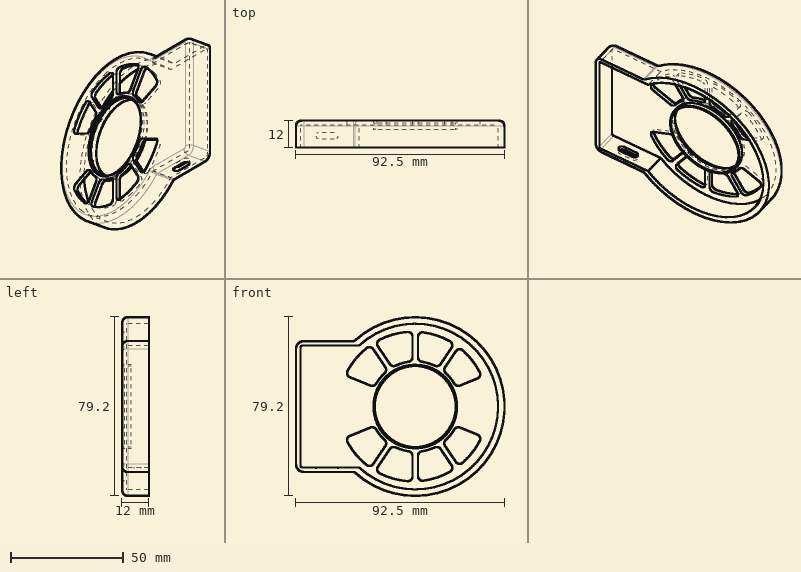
import cadquery as cq
import math

depth = 12.0
outer_radius = 39.62
box_left = -52.86
box_half_height = 29.0
box_corner_radius = 3.5
neck_fillet_radius = 1.0
back_edge_fillet = 2.5

floor_thickness = 2.0
box_wall = 2.0
cavity_radius = 36.7
cavity_corner_radius = 1.0
floor_y = depth - floor_thickness

hole_radius = 35.88 / 2
collar_radius = 37.08 / 2
collar_height = 2.0
back_recess_depth = 1.0

window_inner_radius = 20.1
window_outer_radius = 33.1
window_outer_centre_x = -0.85
window_corner_radius = 2.0
spoke_width = 2.5
spoke_spacing_angle = 34.0
spoke_angles = [90.0 + step * spoke_spacing_angle for step in range(-2, 3)]

slot_length = 9.8
slot_width = 3.0
slot_x = -39.0
slot_y = 5.25


def section(y):
    """Workplane parallel to XZ at the given y; its normal points toward -Y."""
    return cq.Workplane("XZ", origin=(0, y, 0))


def cylinder(radius, y_start, length):
    """Cylinder about the Y axis, reaching from y_start toward +Y."""
    return section(y_start).circle(radius).extrude(-length)


def keyhole(radius, left, half_height, y_start, length):
    """Disc merged with a rectangular box that reaches from the disc centre out to the left."""
    box = section(y_start).center(left / 2, 0).rect(-left, 2 * half_height).extrude(-length)
    return cylinder(radius, y_start, length).union(box)


def make_housing():
    """Solid outer body with rounded box corners, blended necks and a rounded back edge."""
    body = keyhole(outer_radius, box_left, box_half_height, 0, depth)
    body = body.edges("|Y").edges("<X").fillet(box_corner_radius)
    neck_x = -math.sqrt(outer_radius**2 - box_half_height**2)
    for side in (-1, 1):
        neck_point = (neck_x, depth / 2, side * box_half_height)
        body = body.edges(cq.selectors.NearestToPointSelector(neck_point)).fillet(neck_fillet_radius)
    return body.faces(">Y").edges().fillet(back_edge_fillet)


def make_cavity():
    """Space inside the walls, open at y = 0."""
    cavity = keyhole(cavity_radius, box_left + box_wall, box_half_height - box_wall, 0, floor_y)
    return cavity.edges("|Y").edges("<X").fillet(cavity_corner_radius)


def make_window(start_angle, end_angle):
    """Ring sector between two spokes; its sides run parallel to the spoke centrelines."""

    def side_point(arc_x, radius, spoke_angle, side):
        """Where a window arc centred at x = arc_x meets one flank of a spoke."""
        angle = math.radians(spoke_angle)
        along = (math.cos(angle), math.sin(angle))
        offset = side * spoke_width / 2
        across_from_arc = offset + arc_x * along[1]
        distance = arc_x * along[0] + math.sqrt(radius**2 - across_from_arc**2)
        return (distance * along[0] - offset * along[1], distance * along[1] + offset * along[0])

    def arc_middle(arc_x, radius):
        angle = math.radians((start_angle + end_angle) / 2)
        return (arc_x + radius * math.cos(angle), radius * math.sin(angle))

    inner_start = side_point(0, window_inner_radius, start_angle, 1)
    inner_end = side_point(0, window_inner_radius, end_angle, -1)
    outer_start = side_point(window_outer_centre_x, window_outer_radius, start_angle, 1)
    outer_end = side_point(window_outer_centre_x, window_outer_radius, end_angle, -1)
    window = (
        section(floor_y)
        .moveTo(*inner_start)
        .lineTo(*outer_start)
        .threePointArc(arc_middle(window_outer_centre_x, window_outer_radius), outer_end)
        .lineTo(*inner_end)
        .threePointArc(arc_middle(0, window_inner_radius), inner_start)
        .close()
        .extrude(-floor_thickness)
    )
    return window.edges("|Y").fillet(window_corner_radius)


def make_windows():
    """Windows between neighbouring spokes, in the upper half and mirrored into the lower half."""
    windows = cq.Workplane("XZ")
    for start_angle, end_angle in zip(spoke_angles, spoke_angles[1:]):
        upper = make_window(start_angle, end_angle)
        windows = windows.add(upper).add(upper.mirror("XY"))
    return windows.combine()


def make_collar():
    """Disc standing on the cavity floor; the central hole turns it into a thin ring."""
    return cylinder(collar_radius, floor_y - collar_height, collar_height)


def make_hole():
    """Through hole, widened to the collar diameter at the back face."""
    recess = cylinder(collar_radius, depth - back_recess_depth, back_recess_depth)
    return cylinder(hole_radius, 0, depth).union(recess)


def make_wall_slot():
    """Round-ended slot along X through the lower box wall."""
    return (
        cq.Workplane("XY", origin=(slot_x, slot_y, -box_half_height))
        .slot2D(slot_length, slot_width)
        .extrude(box_wall)
    )


result = (
    make_housing()
    .cut(make_cavity())
    .union(make_collar())
    .cut(make_hole())
    .cut(make_windows())
    .cut(make_wall_slot())
)